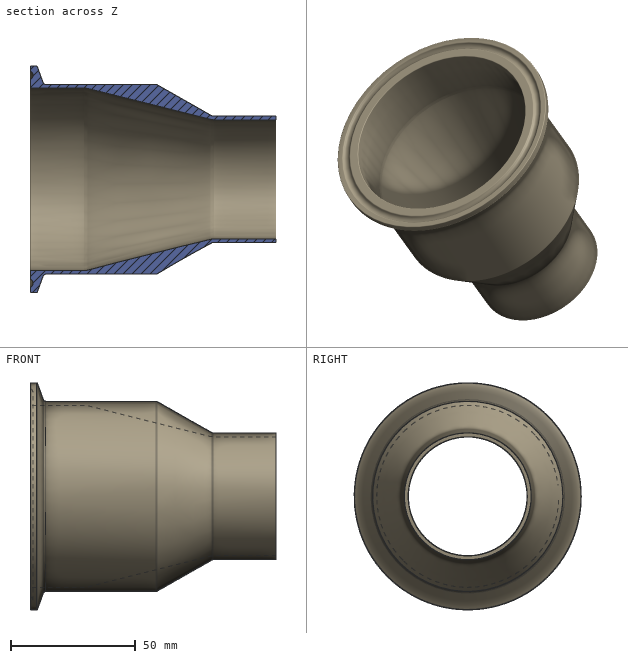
import cadquery as cq
import math

length = 98.4
flange_dia = 90.9
body_dia = 76.2
body_bore = 72.9
neck_dia = 50.8
neck_bore = 47.5

rim_width = 2.8
bore_taper_start = 22.3
outer_taper_start = 50.6
taper_end = 72.9

flange_angle = 20.0
flange_root_radius = 1.0
face_edge_radius = 0.3

groove_mean_dia = 83.4
groove_depth = 1.0
groove_floor_radius = 1.6
groove_lip_radius = 0.6

outer_blend_radius = 0.8
bore_blend_radius = 5.9

flange_back_drop = (flange_dia - body_dia) / 2
flange_root = rim_width + flange_back_drop * math.tan(math.radians(flange_angle))

floor_centre_x = groove_depth - groove_floor_radius
centre_distance = groove_floor_radius + groove_lip_radius
lip_offset = math.sqrt(centre_distance**2 - (groove_lip_radius - floor_centre_x) ** 2)
floor_join = math.acos((floor_centre_x - groove_lip_radius) / centre_distance)
lip_middle = (floor_join + math.pi) / 2


def groove_lip_point(side, angle):
    """Point on a groove lip; half a turn from +X is where it meets the flange face."""
    x = groove_lip_radius + groove_lip_radius * math.cos(angle)
    offset = lip_offset - groove_lip_radius * math.sin(angle)
    return (x, groove_mean_dia / 2 + side * offset)


def make_shell():
    """Revolved wall: grooved clamp flange, body, conical reducer and neck."""
    profile = (
        cq.Workplane("XY")
        .moveTo(0, body_bore / 2)
        .lineTo(*groove_lip_point(-1, math.pi))
        .threePointArc(groove_lip_point(-1, lip_middle), groove_lip_point(-1, floor_join))
        .threePointArc((groove_depth, groove_mean_dia / 2), groove_lip_point(1, floor_join))
        .threePointArc(groove_lip_point(1, lip_middle), groove_lip_point(1, math.pi))
        .lineTo(0, flange_dia / 2)
        .lineTo(rim_width, flange_dia / 2)
        .lineTo(flange_root, body_dia / 2)
        .lineTo(outer_taper_start, body_dia / 2)
        .lineTo(taper_end, neck_dia / 2)
        .lineTo(length, neck_dia / 2)
        .lineTo(length, neck_bore / 2)
        .lineTo(taper_end, neck_bore / 2)
        .lineTo(bore_taper_start, body_bore / 2)
        .close()
    )
    return profile.revolve(360, (0, 0, 0), (1, 0, 0))


def round_ring(solid, x, diameter, blend_radius):
    """Fillet the circular edge of the given diameter at position x."""
    tolerance = 0.01
    ring = solid.edges("%CIRCLE").filter(
        lambda edge: abs(edge.Center().x - x) < tolerance and abs(2 * edge.radius() - diameter) < tolerance
    )
    return ring.fillet(blend_radius)


result = make_shell()
for ring_x, ring_dia, ring_radius in (
    (0, body_bore, face_edge_radius),
    (0, flange_dia, face_edge_radius),
    (rim_width, flange_dia, face_edge_radius),
    (flange_root, body_dia, flange_root_radius),
    (outer_taper_start, body_dia, outer_blend_radius),
    (taper_end, neck_dia, outer_blend_radius),
    (bore_taper_start, body_bore, bore_blend_radius),
    (taper_end, neck_bore, bore_blend_radius),
):
    result = round_ring(result, ring_x, ring_dia, ring_radius)